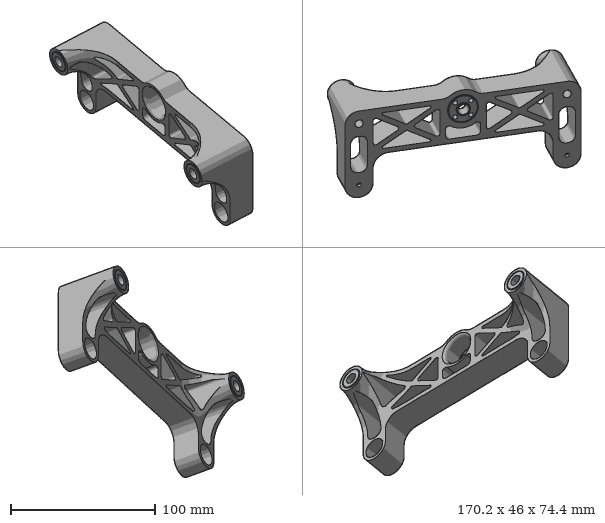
import cadquery as cq
import math


total_width = 170.2
boss_diameter = 20.3
boss_radius = boss_diameter / 2
boss_x = total_width / 2 - boss_radius
lower_boss_z = -49.0
beam_bottom_z = -26.4
beam_depth = 20.0
boss_front_y = -45.0
arm_inner_x = boss_x - boss_radius
arm_corner_radius = 11.0
boss_fillet_radius = 24.0

ring_radius = 15.23
ring_blend_radius = 10.0
bore_diameter = 22.0
mouth_inner_diameter = 25.0
mouth_flare_depth = 3.0
mouth_chamfer = 0.5

window_top_z = 6.1
window_bottom_z = -22.6
window_outer_x = arm_inner_x
window_inner_x = 16.7
strut_width = 4.0
wide_corner_radius = 1.9
sharp_corner_radius = 1.0
center_window_width = 25.2
center_window_top_z = -12.3
center_window_upper_radius = 2.0
center_window_lower_radius = 3.0

slot_width = 12.0
slot_corner_radius = 5.5
slot_top_z = -10.2
slot_bottom_z = -39.1
pocket_diameter = 15.3
pocket_floor = 6.0
screw_head_diameter = 6.0
screw_head_depth = 3.0
screw_diameter = 3.0

bushing_diameter = 15.3
bushing_bore = 8.0
bushing_chamfer = 0.5
bushing_length = 8.0
bushing_back_y = boss_front_y + bushing_length
rod_hole_diameter = 6.0

hub_disc_thickness = 6.6
hub_diameter = 10.0
hub_bore = 8.0
hub_projection = 1.0
hub_edge_chamfer = 0.2
hub_disc_chamfer = 0.7
hub_screw_diameter = 3.2
hub_screw_spacing = 11.4


def cylinder(x, z, diameter, front_y, back_y):
    """Cylinder along Y between two Y positions."""
    return (
        cq.Workplane("XZ", origin=(x, back_y, z))
        .circle(diameter / 2)
        .extrude(back_y - front_y)
    )


def through_beam(sketch):
    """Extrude a closed outline on the XZ plane far enough forward to pass all the bosses."""
    return sketch.extrude(-boss_front_y)


def frame_outline():
    """Front outline of the frame: beam, rounded arms and the bulge of the central ring."""
    blend_z = boss_radius + ring_blend_radius
    blend_distance = ring_radius + ring_blend_radius
    blend_x = math.sqrt(blend_distance**2 - blend_z**2)
    ring_fraction = ring_radius / blend_distance
    tangent_x = blend_x * ring_fraction
    tangent_z = blend_z * ring_fraction
    corner_x = arm_inner_x - arm_corner_radius
    corner_z = beam_bottom_z - arm_corner_radius
    outer_x = total_width / 2
    turn = boss_radius * math.sqrt(0.5)
    return (
        cq.Workplane("XZ")
        .moveTo(-boss_x, boss_radius)
        .lineTo(-blend_x, boss_radius)
        .radiusArc((-tangent_x, tangent_z), -ring_blend_radius)
        .threePointArc((0, ring_radius), (tangent_x, tangent_z))
        .radiusArc((blend_x, boss_radius), -ring_blend_radius)
        .lineTo(boss_x, boss_radius)
        .threePointArc((boss_x + turn, turn), (outer_x, 0))
        .lineTo(outer_x, lower_boss_z)
        .threePointArc((boss_x, lower_boss_z - boss_radius), (arm_inner_x, lower_boss_z))
        .lineTo(arm_inner_x, corner_z)
        .radiusArc((corner_x, beam_bottom_z), -arm_corner_radius)
        .lineTo(-corner_x, beam_bottom_z)
        .radiusArc((-arm_inner_x, corner_z), -arm_corner_radius)
        .lineTo(-arm_inner_x, lower_boss_z)
        .threePointArc((-boss_x, lower_boss_z - boss_radius), (-outer_x, lower_boss_z))
        .lineTo(-outer_x, 0)
        .threePointArc((-boss_x - turn, turn), (-boss_x, boss_radius))
        .close()
    )


def flared_boss(x):
    """Forward boss with a concave flare that runs out into the front of the beam."""
    flare_radius = boss_radius + boss_fillet_radius
    flare_front_y = -beam_depth - boss_fillet_radius
    mid_offset = boss_fillet_radius * (1 - math.sqrt(0.5))
    return (
        cq.Workplane("YZ", origin=(x, 0, 0))
        .lineTo(0, flare_radius)
        .lineTo(-beam_depth, flare_radius)
        .threePointArc(
            (-beam_depth - mid_offset, boss_radius + mid_offset),
            (flare_front_y, boss_radius),
        )
        .lineTo(boss_front_y, boss_radius)
        .lineTo(boss_front_y, 0)
        .close()
        .revolve(360, (0, 0, 0), (1, 0, 0))
    )


def frame_body():
    """Frame outline cut back to the beam depth everywhere except at the two flared bosses."""
    slab = cq.Workplane("XY").box(
        2 * total_width, beam_depth, 2 * total_width, centered=(True, False, True)
    )
    depth_profile = slab.translate((0, -beam_depth, 0))
    for side in (-1, 1):
        depth_profile = depth_profile.union(flared_boss(side * boss_x))
    return through_beam(frame_outline()).intersect(depth_profile)


def triangle_window(points, radii):
    """Triangular prism along Y with one corner radius for each corner."""
    prism = through_beam(cq.Workplane("XZ").polyline(points).close())
    for (x, z), radius in zip(points, radii):
        corner = cq.selectors.BoxSelector(
            (x - 0.2, 1.7, z - 0.2), (x + 0.2, boss_front_y - 1.7, z + 0.2)
        )
        prism = prism.edges(corner).fillet(radius)
    return prism


def truss_windows(side):
    """Four triangular windows left open by two crossing diagonal struts."""
    mid_x = (window_outer_x + window_inner_x) / 2
    mid_z = (window_top_z + window_bottom_z) / 2
    half_width = (window_outer_x - window_inner_x) / 2
    half_height = (window_top_z - window_bottom_z) / 2
    diagonal = math.hypot(half_width, half_height)
    gap_x = strut_width / 2 * diagonal / half_height
    gap_z = strut_width / 2 * diagonal / half_width
    windows = []
    for sign in (1, -1):
        flat = [
            (side * (mid_x - half_width + gap_x), mid_z + sign * half_height),
            (side * (mid_x + half_width - gap_x), mid_z + sign * half_height),
            (side * mid_x, mid_z + sign * gap_z),
        ]
        upright = [
            (side * (mid_x + sign * half_width), mid_z - half_height + gap_z),
            (side * (mid_x + sign * half_width), mid_z + half_height - gap_z),
            (side * (mid_x + sign * gap_x), mid_z),
        ]
        flat_radii = (sharp_corner_radius, sharp_corner_radius, wide_corner_radius)
        windows.append(triangle_window(flat, flat_radii))
        windows.append(triangle_window(upright, (wide_corner_radius,) * 3))
    return windows


def center_window():
    """Rounded window under the central ring, with the ring left whole."""
    height = center_window_top_z - window_bottom_z
    block = through_beam(
        cq.Workplane("XZ")
        .center(0, (center_window_top_z + window_bottom_z) / 2)
        .rect(center_window_width, height)
    )
    block = block.edges("|Y and >Z").fillet(center_window_upper_radius)
    block = block.edges("|Y and <Z").fillet(center_window_lower_radius)
    return block.cut(cylinder(0, 0, 2 * ring_radius, boss_front_y, 0))


def arm_slot(x):
    """Slot with rounded corners between the upper boss and the lower hole."""
    return through_beam(
        cq.Workplane("XZ")
        .center(x, (slot_top_z + slot_bottom_z) / 2)
        .rect(slot_width, slot_top_z - slot_bottom_z)
    ).edges("|Y").fillet(slot_corner_radius)


def lower_hole(x):
    """Deep pocket with a screw head recess and a screw hole in its floor."""
    pocket = cylinder(x, lower_boss_z, pocket_diameter, -beam_depth, -pocket_floor)
    head = cylinder(
        x, lower_boss_z, screw_head_diameter, -beam_depth, screw_head_depth - pocket_floor
    )
    screw = cylinder(x, lower_boss_z, screw_diameter, -beam_depth, 0)
    return pocket.union(head).union(screw)


def center_bore():
    """Bore of the central ring, flaring in an arc to a chamfered mouth."""
    bore_radius = bore_diameter / 2
    mouth_radius = mouth_inner_diameter / 2
    flare_rise = mouth_radius - bore_radius
    flare_length = mouth_flare_depth - mouth_chamfer
    flare_radius = (flare_rise**2 + flare_length**2) / (2 * flare_rise)
    return (
        cq.Workplane("XY")
        .lineTo(bore_radius, 0)
        .lineTo(bore_radius, mouth_flare_depth - beam_depth)
        .radiusArc((mouth_radius, mouth_chamfer - beam_depth), -flare_radius)
        .lineTo(mouth_radius + mouth_chamfer, -beam_depth)
        .lineTo(0, -beam_depth)
        .close()
        .revolve(360, (0, 0, 0), (0, 1, 0))
    )


def make_housing():
    housing = frame_body().cut(center_bore()).cut(center_window())
    for side in (-1, 1):
        x = side * boss_x
        for window in truss_windows(side):
            housing = housing.cut(window)
        housing = housing.cut(arm_slot(x)).cut(lower_hole(x))
        housing = housing.cut(cylinder(x, 0, rod_hole_diameter, boss_front_y, 0))
        housing = housing.cut(
            cylinder(x, 0, bushing_diameter, boss_front_y, bushing_back_y)
        )
    return housing


def make_bushing(x):
    """Chamfered bushing flush with the front of an upper boss."""
    blank = cylinder(x, 0, bushing_diameter, boss_front_y, bushing_back_y)
    blank = blank.edges().chamfer(bushing_chamfer)
    return blank.cut(cylinder(x, 0, bushing_bore, boss_front_y, bushing_back_y))


def make_hub():
    """Disc at the bottom of the central bore with a tube that projects at the back."""
    disc = cylinder(0, 0, bore_diameter, -hub_disc_thickness, 0)
    disc = disc.edges().chamfer(hub_disc_chamfer)
    tube = cylinder(0, 0, hub_diameter, -hub_disc_thickness - hub_projection, hub_projection)
    tube = tube.edges().chamfer(hub_edge_chamfer)
    hub = disc.union(tube)
    hub = hub.cut(cylinder(0, 0, hub_bore, -beam_depth, hub_projection))
    for x_side in (-1, 1):
        for z_side in (-1, 1):
            x = x_side * hub_screw_spacing / 2
            z = z_side * hub_screw_spacing / 2
            hub = hub.cut(cylinder(x, z, hub_screw_diameter, -beam_depth, 0))
    return hub


housing = make_housing()
bushings = [make_bushing(side * boss_x) for side in (-1, 1)]
hub = make_hub()
result = cq.Compound.makeCompound(
    [housing.val(), *[bushing.val() for bushing in bushings], hub.val()]
)